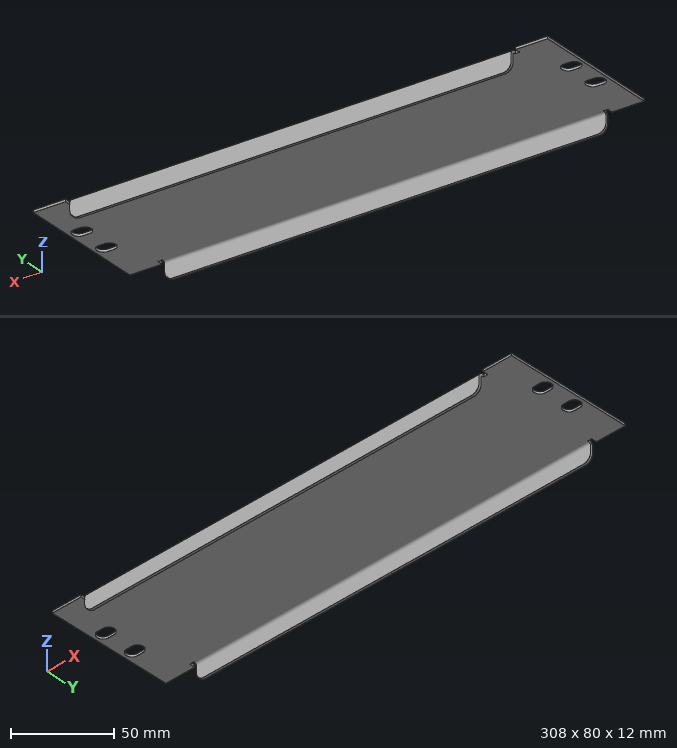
import cadquery as cq

length = 308.0
width = 80.0
height = 12.0
thickness = 1.5

bend_radius = 3.0
flange_inset = 22.0
flange_corner_radius = 5.0

notch_width = 2.5
notch_depth = 3.5

slot_length = 11.0
slot_width = 7.5
slot_margin = 2.0
slot_spacing = 20.3

flange_length = length - 2 * flange_inset
inner_bend_radius = bend_radius - thickness
slot_inset = slot_margin + slot_length / 2


def channel(channel_length):
    """Bent sheet section with its top face at Z = 0."""
    outer = (
        cq.Workplane("XY")
        .box(channel_length, width, height, centered=(True, True, False))
        .translate((0, 0, -height))
        .edges("|X and >Z")
        .fillet(bend_radius)
    )
    inner_height = height - thickness
    inner = (
        cq.Workplane("XY")
        .box(channel_length, width - 2 * thickness, inner_height, centered=(True, True, False))
        .translate((0, 0, -height))
        .edges("|X and >Z")
        .fillet(inner_bend_radius)
    )
    return outer.cut(inner).edges("|Y and <Z").fillet(flange_corner_radius)


def end_plate(side):
    """Full-width flat end, from the panel end to the start of the flanges."""
    return (
        cq.Workplane("XY")
        .center(side * (length - flange_inset) / 2, 0)
        .rect(flange_inset, width)
        .extrude(-thickness)
    )


panel = channel(flange_length)
for end in (-1, 1):
    panel = panel.union(end_plate(end))

notch_x = flange_length / 2 + notch_width / 2
notch_y = width / 2 - notch_depth / 2
notches = (
    cq.Workplane("XY")
    .rect(2 * notch_x, 2 * notch_y, forConstruction=True)
    .vertices()
    .rect(notch_width, notch_depth)
    .extrude(-thickness)
)

slots = (
    cq.Workplane("XY")
    .rect(length - 2 * slot_inset, slot_spacing, forConstruction=True)
    .vertices()
    .slot2D(slot_length, slot_width)
    .extrude(-thickness)
)

result = panel.cut(notches).cut(slots)